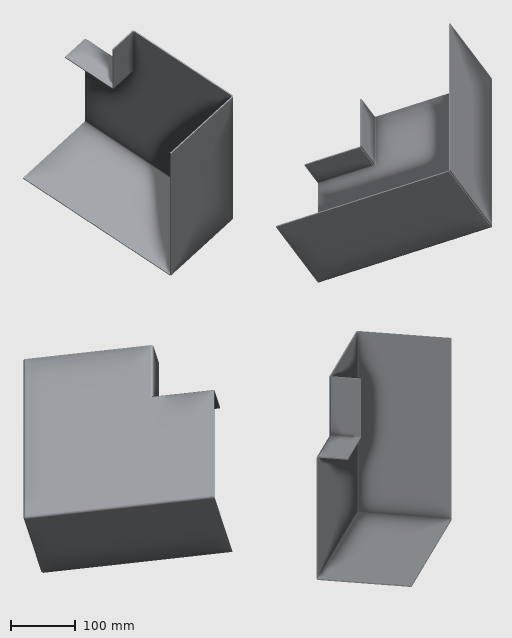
import cadquery as cq

SIDE = 300.0
DEPTH = 150.0
LIP_DEPTH = 50.0
STEP = 96.0
SHEET = 2.0
BEND = 2.0

OUTER_BEND = BEND + SHEET
WIDTH = SIDE - STEP
LIP_BOTTOM = WIDTH - SHEET
WALL_END = SIDE - SHEET


def channel_blank():
    """Bent sheet running along X: wide wall below, back plate, short lip above."""
    outer = (
        cq.Workplane("YZ")
        .rect(DEPTH, WIDTH, centered=False)
        .extrude(SIDE)
        .edges("|X and >Y")
        .fillet(OUTER_BEND)
    )
    inner = (
        cq.Workplane("YZ")
        .center(0, SHEET)
        .rect(DEPTH - SHEET, WIDTH - 2 * SHEET, centered=False)
        .extrude(SIDE)
        .edges("|X and >Y")
        .fillet(BEND)
    )
    above_lip = (
        cq.Workplane("YZ")
        .center(0, LIP_BOTTOM)
        .rect(DEPTH - LIP_DEPTH, SHEET, centered=False)
        .extrude(SIDE)
    )
    return outer.cut(inner).cut(above_lip)


def mitre_keep():
    """Prism below the mitre plane, with the ends of the wide wall and the lip cut square."""
    wall_end = [(WALL_END, 0), (WALL_END, SHEET)]
    lip_end = [(STEP + SHEET, LIP_BOTTOM), (STEP, LIP_BOTTOM), (STEP, WIDTH)]
    return (
        cq.Workplane("XZ")
        .polyline([(0, 0), *wall_end, *lip_end, (0, SIDE)])
        .close()
        .extrude(-DEPTH)
    )


def make_lower_channel():
    """Channel along X, mitred at its +X end."""
    return channel_blank().intersect(mitre_keep())


def make_upright_channel(lower):
    """Channel along Z: the lower channel mirrored across the mitre plane."""
    mitre_normal = cq.Vector(1, 0, 1)
    mitre_point = cq.Vector(SIDE, 0, 0)
    return lower.mirror(mitre_normal, mitre_point)


lower_channel = make_lower_channel()
upright_channel = make_upright_channel(lower_channel)

result = cq.Compound.makeCompound([lower_channel.val(), upright_channel.val()])